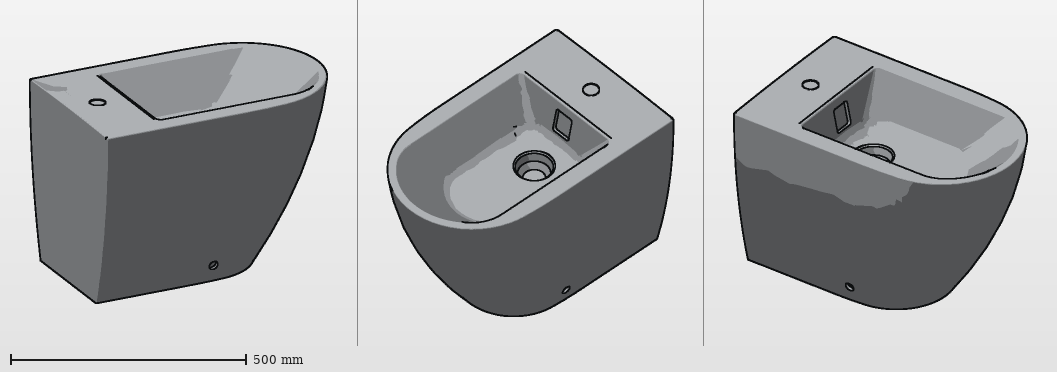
import cadquery as cq
import math

length = 595.5
rim_height = 399.5
total_height = 402.0
edge_radius = 3.5

overall_width = 370.0
foot_narrowing = 51.0
nose_setback_linear = 51.0
nose_setback_quadratic = 119.0
nose_radius_ratio = 0.98
flank_radius_ratio = 5.7
nose_lean = nose_setback_linear / rim_height
rim_nose = length + edge_radius * (nose_lean + math.hypot(1, nose_lean) - 1)
shell_steps = 6

bowl_floor_height = 283.0
bowl_floor_radius = 41.5
bowl_rim_radius = 4.0
opening = dict(half_width=143.0, back=143.0, nose=579.5, nose_radius=158.0, flank_radius=92.5, corner_radius=12.0)
floor = dict(half_width=88.0, back=168.0, nose=447.0, nose_radius=95.5, flank_radius=59.5, corner_radius=50.5)

deck_back_half_width = 180.0
deck_front_half_width = 134.5
deck_depth = 137.0
deck_thickness = 30.0
crown_end_rise = 0.1
crown_edge_radius = 2.0
tap_hole_y = 70.0
tap_hole_diameter = 35.0
tap_hole_depth = 3.5

drain_y = 235.0
drain_lip_diameter = 89.5
drain_seat_top_diameter = 81.5
drain_seat_bottom_diameter = 70.0
drain_outlet_diameter = 49.0
drain_lip_depth = 3.5
drain_seat_depth = 18.0
drain_cone_depth = 15.0
drain_headroom = 6.0

overflow_width = 49.0
overflow_bottom = 321.5
overflow_top = 378.0
overflow_depth = 9.0
overflow_corner_radius = 6.0

fixing_diameter = 20.0
fixing_y = 274.5
fixing_z = 40.0
fixing_depth = 9.0


def d_outline(height, half_width, back, nose, nose_radius, flank_radius, corner_radius):
    """D-shaped wire: straight back and sides, flank arcs running tangent into a nose arc."""
    nose_centre = nose - nose_radius
    flank_x = half_width - flank_radius
    radius_step = nose_radius - flank_radius
    side = math.copysign(1, radius_step)
    flank_y = nose_centre + side * math.sqrt(radius_step**2 - flank_x**2)

    join_angle = math.atan2(side * (flank_y - nose_centre), side * flank_x)
    join_x = nose_radius * math.cos(join_angle)
    join_y = nose_centre + nose_radius * math.sin(join_angle)
    flank_mid_x = flank_x + flank_radius * math.cos(join_angle / 2)
    flank_mid_y = flank_y + flank_radius * math.sin(join_angle / 2)

    corner_x = half_width - corner_radius
    corner_y = back + corner_radius
    corner_reach = corner_radius * math.sqrt(0.5)
    return (
        cq.Workplane("XY", origin=(0, 0, height))
        .moveTo(-corner_x, back)
        .lineTo(corner_x, back)
        .threePointArc((corner_x + corner_reach, corner_y - corner_reach), (half_width, corner_y))
        .lineTo(half_width, flank_y)
        .threePointArc((flank_mid_x, flank_mid_y), (join_x, join_y))
        .threePointArc((0, nose), (-join_x, join_y))
        .threePointArc((-flank_mid_x, flank_mid_y), (-half_width, flank_y))
        .lineTo(-half_width, corner_y)
        .threePointArc((-corner_x - corner_reach, corner_y - corner_reach), (-corner_x, back))
        .close()
        .wire()
        .val()
    )


def shell_half_width(height):
    drop = 1 - height / rim_height
    return overall_width / 2 - foot_narrowing * drop**2


def shell_outline(height):
    drop = 1 - height / rim_height
    half_width = shell_half_width(height)
    return d_outline(
        height,
        half_width,
        back=0,
        nose=rim_nose - nose_setback_linear * drop - nose_setback_quadratic * drop**2,
        nose_radius=nose_radius_ratio * half_width,
        flank_radius=flank_radius_ratio * half_width,
        corner_radius=edge_radius,
    )


def make_shell():
    outlines = [shell_outline(rim_height * step / shell_steps) for step in range(shell_steps + 1)]
    shell = cq.Workplane(cq.Solid.makeLoft(outlines))
    return shell.faces(">Z").edges().fillet(edge_radius)


def crown_outline(y, half_width, rise):
    """Slab cross-section at the given distance from the wall, with its arched top above the rim."""
    return (
        cq.Workplane("XZ", origin=(0, y, rim_height))
        .moveTo(-half_width, -deck_thickness)
        .lineTo(half_width, -deck_thickness)
        .lineTo(half_width, 0)
        .threePointArc((0, rise), (-half_width, 0))
        .close()
        .wire()
        .val()
    )


def make_deck_crown():
    """Shallow arched slab, highest at the wall and sinking into the rim at the bowl."""
    crown = cq.Workplane(
        cq.Solid.makeLoft([
            crown_outline(0, deck_back_half_width, total_height - rim_height),
            crown_outline(deck_depth, deck_front_half_width, crown_end_rise),
        ], True)
    )
    return crown.edges(">Z").fillet(crown_edge_radius)


def make_bowl():
    bowl = cq.Workplane(
        cq.Solid.makeLoft([d_outline(bowl_floor_height, **floor), d_outline(rim_height, **opening)], True)
    )
    return bowl.faces("<Z").edges().fillet(bowl_floor_radius)


def make_drain():
    """Flared lip, tapered seat and a cone down to the flat outlet."""
    seat_top = bowl_floor_height - drain_lip_depth
    seat_bottom = seat_top - drain_seat_depth
    outlet = seat_bottom - drain_cone_depth
    profile = (
        cq.Workplane("XZ", origin=(0, drain_y, 0))
        .moveTo(0, outlet)
        .lineTo(drain_outlet_diameter / 2, outlet)
        .lineTo(drain_seat_bottom_diameter / 2, seat_bottom)
        .lineTo(drain_seat_top_diameter / 2, seat_top)
        .lineTo(drain_lip_diameter / 2, bowl_floor_height)
        .lineTo(drain_lip_diameter / 2, bowl_floor_height + drain_headroom)
        .lineTo(0, bowl_floor_height + drain_headroom)
        .close()
    )
    return profile.revolve(360, (0, 0, 0), (0, 1, 0))


def make_overflow():
    """Slot sunk into the sloping back wall of the bowl."""
    wall_lean = (floor["back"] - opening["back"]) / (rim_height - bowl_floor_height)
    slot_middle = (overflow_bottom + overflow_top) / 2
    wall_y = opening["back"] + wall_lean * (rim_height - slot_middle)
    return (
        cq.Workplane("XZ", origin=(0, wall_y, slot_middle))
        .rect(overflow_width, overflow_top - overflow_bottom)
        .extrude(overflow_depth, both=True)
        .edges("|Y")
        .fillet(overflow_corner_radius)
        .rotate((0, wall_y, slot_middle), (1, wall_y, slot_middle), math.degrees(math.atan(wall_lean)))
    )


def make_fixing_hole(side):
    """Blind hole into the side wall; side is -1 or +1 for the two walls."""
    slope = 2 * foot_narrowing * (1 - fixing_z / rim_height) / rim_height
    inward = cq.Vector(-side, 0, slope).normalized()
    mouth = cq.Vector(side * shell_half_width(fixing_z), fixing_y, fixing_z)
    start = mouth - inward * fixing_depth
    return cq.Workplane(cq.Solid.makeCylinder(fixing_diameter / 2, 2 * fixing_depth, start, inward))


def make_tap_hole():
    return (
        cq.Workplane("XY", origin=(0, tap_hole_y, total_height))
        .circle(tap_hole_diameter / 2)
        .extrude(-tap_hole_depth)
    )


bidet = make_shell().cut(make_bowl())
bowl_rim = bidet.faces(">Z").wires(cq.selectors.LengthNthSelector(0)).edges()
bidet = bowl_rim.fillet(bowl_rim_radius)
bidet = bidet.union(make_deck_crown())
bidet = bidet.cut(make_drain()).cut(make_overflow()).cut(make_tap_hole())
for wall in (-1, 1):
    bidet = bidet.cut(make_fixing_hole(wall))

result = bidet